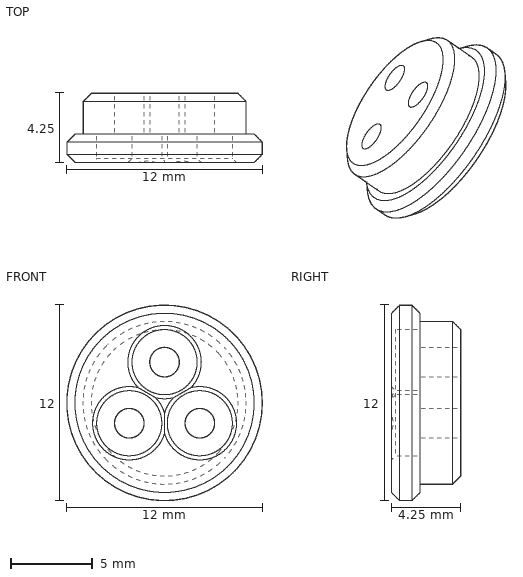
import cadquery as cq
import math

flange_diameter = 12.0
body_diameter = 10.0
total_depth = 4.25
flange_thickness = 1.75
outer_chamfer = 0.5

hole_count = 3
hole_circle_radius = 2.5
first_hole_angle = 90.0
through_diameter = 1.8
counterbore_diameter = 4.0
counterbore_depth = 1.75
counterbore_chamfer = 0.25


def make_plug():
    """Revolve the flange and the narrower body, with their outer chamfers."""
    flange_radius = flange_diameter / 2
    body_radius = body_diameter / 2
    profile = (
        cq.Workplane("XY")
        .moveTo(0, 0)
        .lineTo(flange_radius - outer_chamfer, 0)
        .lineTo(flange_radius, outer_chamfer)
        .lineTo(flange_radius, flange_thickness - outer_chamfer)
        .lineTo(flange_radius - outer_chamfer, flange_thickness)
        .lineTo(body_radius, flange_thickness)
        .lineTo(body_radius, total_depth - outer_chamfer)
        .lineTo(body_radius - outer_chamfer, total_depth)
        .lineTo(0, total_depth)
        .close()
    )
    return profile.revolve(360, (0, 0), (0, 1))


def make_hole_cutter():
    """Revolve a through hole with a counterbore and a chamfered mouth."""
    through_radius = through_diameter / 2
    counterbore_radius = counterbore_diameter / 2
    profile = (
        cq.Workplane("XY")
        .moveTo(0, 0)
        .lineTo(counterbore_radius + counterbore_chamfer, 0)
        .lineTo(counterbore_radius, counterbore_chamfer)
        .lineTo(counterbore_radius, counterbore_depth)
        .lineTo(through_radius, counterbore_depth)
        .lineTo(through_radius, total_depth)
        .lineTo(0, total_depth)
        .close()
    )
    return profile.revolve(360, (0, 0), (0, 1))


result = make_plug()
hole_cutter = make_hole_cutter()

for index in range(hole_count):
    angle = math.radians(first_hole_angle + index * 360 / hole_count)
    hole_x = hole_circle_radius * math.cos(angle)
    hole_z = hole_circle_radius * math.sin(angle)
    result = result.cut(hole_cutter.translate((hole_x, 0, hole_z)))